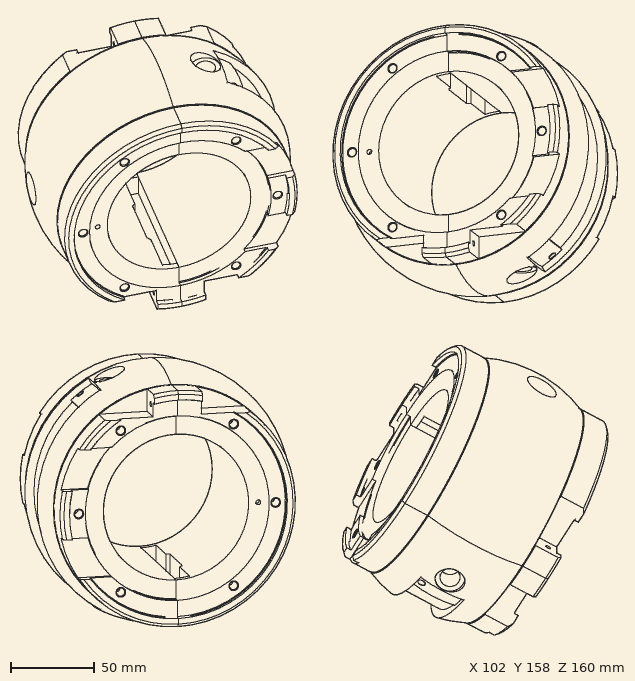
import cadquery as cq
import math

LENGTH = 102.0
HALF_LENGTH = LENGTH / 2
BALL_RADIUS = 80.0
COLLAR_RADIUS = 73.0
COLLAR_CHAMFER = 2.0
BORE_RADIUS = 45.0
COLLAR_INNER_X = 33.0
BALL_START_X = math.sqrt(BALL_RADIUS**2 - COLLAR_RADIUS**2)
RELIEF_DEPTH = 0.5
RELIEF_WIDTH = 0.5

RING_SEAT_RADIUS = 67.5
RING_SEAT_DEPTH = 3.0
RING_SEAT_FILLET = 0.5
BORE_SEAT_RADIUS = 57.0
BORE_SEAT_DEPTH = 6.0
BORE_SEAT_FILLET = 0.5
SCREW_CIRCLE_RADIUS = 61.0
SCREW_DIAMETER = 5.0
SCREW_DEPTH = 12.0
SCREW_MOUTH_DIAMETER = 6.0
SCREW_ANGLES = (0, 55, 125, 180, 235, 305)
DOWEL_DIAMETER = 3.0
DOWEL_DEPTH = 4.0
DOWEL_Y = -51.0
LUG_HALF_WIDTH = 15.0
TOP_NOTCH_Z = 57.3
SIDE_NOTCH_Z = 40.0
SIDE_NOTCH_DEPTH = 5.5
LUG_PIN_DIAMETER = 3.0
LUG_PIN_X = -42.0
LUG_PIN_Z = 64.0

SLOT_WIDTH = 30.0
SLOT_FLOOR_RADIUS = COLLAR_RADIUS
SLOT_HALF_ANGLE = 60.0
SEAT_RADIUS = 76.0
SEAT_ANGLE = 12.3
SEAT_HOLE_DIAMETER = 5.0
SEAT_HOLE_X = 11.0
SEAT_HOLE_BOTTOM = 75.0
SEAT_HOLE_ANGLE = 52.8

DRILL_POINT_ANGLE = 118.0
FRONT_HOLE_DIAMETER = 20.0
FRONT_HOLE_BOTTOM = 66.0
TOP_HOLE_DIAMETER = 12.0
TOP_HOLE_Y = 30.0
TOP_HOLE_BOTTOM = 52.0
COUNTERBORE_DIAMETER = 18.0
COUNTERBORE_FLOOR = 69.3

POCKET_LENGTH = 82.0
POCKET_DEPTH = 9.3
POCKET_RADIUS = 58.0
POCKET_BAY_LENGTH = 34.0
POCKET_BAY_STEP = 2.0

BIG = 2 * BALL_RADIUS


def revolve_about_x(profile):
    return profile.close().revolve(360, (0, 0, 0), (1, 0, 0))


def block(x_range, y_range, z_range):
    sizes = [end - start for start, end in (x_range, y_range, z_range)]
    corner = (x_range[0], y_range[0], z_range[0])
    return cq.Workplane("XY").box(*sizes, centered=False).translate(corner)


def half_turn(shape):
    """The same shape turned half a turn about the Y axis."""
    return shape.rotate((0, 0, 0), (0, 1, 0), 180)


def drill(start, direction, diameter, depth):
    """A drilled hole: straight part of the given depth, then a conical point."""
    radius = diameter / 2
    axis = cq.Vector(*direction)
    bottom = cq.Vector(*start) + axis * depth
    tip_height = radius / math.tan(math.radians(DRILL_POINT_ANGLE / 2))
    straight = cq.Solid.makeCylinder(radius, depth, cq.Vector(*start), axis)
    tip = cq.Solid.makeCone(radius, 0, tip_height, bottom, axis)
    return cq.Workplane(straight.fuse(tip))


def ball_ring():
    """Ball with a chamfered collar at each end, relief grooves and a straight bore."""
    rim_radius = COLLAR_RADIUS - COLLAR_CHAMFER
    chamfer_x = HALF_LENGTH - COLLAR_CHAMFER
    relief_radius = COLLAR_RADIUS - RELIEF_DEPTH
    relief_x = BALL_START_X + RELIEF_WIDTH
    profile = (
        cq.Workplane("XY")
        .moveTo(-HALF_LENGTH, BORE_RADIUS)
        .lineTo(-HALF_LENGTH, rim_radius)
        .lineTo(-chamfer_x, COLLAR_RADIUS)
        .lineTo(-relief_x, COLLAR_RADIUS)
        .lineTo(-relief_x, relief_radius)
        .lineTo(-BALL_START_X, relief_radius)
        .lineTo(-BALL_START_X, COLLAR_RADIUS)
        .threePointArc((0, BALL_RADIUS), (BALL_START_X, COLLAR_RADIUS))
        .lineTo(BALL_START_X, relief_radius)
        .lineTo(relief_x, relief_radius)
        .lineTo(relief_x, COLLAR_RADIUS)
        .lineTo(chamfer_x, COLLAR_RADIUS)
        .lineTo(HALF_LENGTH, rim_radius)
        .lineTo(HALF_LENGTH, BORE_RADIUS)
    )
    return revolve_about_x(profile)


def disc_at_left_end(radius, depth):
    """A disc reaching the given depth into the -X end face."""
    return cq.Workplane("YZ", origin=(-HALF_LENGTH, 0, 0)).circle(radius).extrude(depth)


def left_end_cuts():
    """Everything cut into the -X end; the +X end is the same, turned about Y."""
    ring_seat = disc_at_left_end(RING_SEAT_RADIUS, RING_SEAT_DEPTH)
    bore_seat = disc_at_left_end(BORE_SEAT_RADIUS, BORE_SEAT_DEPTH)
    cuts = [
        ring_seat.faces(">X").edges().fillet(RING_SEAT_FILLET),
        bore_seat.faces(">X").edges().fillet(BORE_SEAT_FILLET),
    ]

    screw_x = -HALF_LENGTH + RING_SEAT_DEPTH
    for angle in SCREW_ANGLES:
        y = SCREW_CIRCLE_RADIUS * math.cos(math.radians(angle))
        z = SCREW_CIRCLE_RADIUS * math.sin(math.radians(angle))
        hole = drill((screw_x, y, z), (1, 0, 0), SCREW_DIAMETER, SCREW_DEPTH)
        countersink = cq.Solid.makeCone(
            SCREW_MOUTH_DIAMETER / 2,
            SCREW_DIAMETER / 2,
            (SCREW_MOUTH_DIAMETER - SCREW_DIAMETER) / 2,
            cq.Vector(screw_x, y, z),
            cq.Vector(1, 0, 0),
        )
        cuts.append(hole.union(cq.Workplane(countersink)))

    dowel_x = -HALF_LENGTH + BORE_SEAT_DEPTH
    dowel = cq.Workplane("YZ", origin=(dowel_x, DOWEL_Y, 0)).circle(DOWEL_DIAMETER / 2)
    cuts.append(dowel.extrude(DOWEL_DEPTH))

    pin = cq.Workplane("XZ", origin=(LUG_PIN_X, 0, LUG_PIN_Z)).circle(LUG_PIN_DIAMETER / 2)
    cuts.append(pin.extrude(LUG_HALF_WIDTH, both=True))

    side_slab = disc_at_left_end(BIG, SIDE_NOTCH_DEPTH)
    for side in (1, -1):
        top_y = sorted((side * LUG_HALF_WIDTH, side * BIG))
        cuts.append(block((-BIG, -COLLAR_INNER_X), top_y, (TOP_NOTCH_Z, BIG)))
        side_z = sorted((side * LUG_HALF_WIDTH, side * SIDE_NOTCH_Z))
        cuts.append(side_slab.intersect(block((-BIG, 0), (LUG_HALF_WIDTH, BIG), side_z)))
    return cuts


def wedge(half_angle):
    """Slot-wide sector about the bore axis, centred on +Y."""
    reach_y = BIG * math.cos(math.radians(half_angle))
    reach_z = BIG * math.sin(math.radians(half_angle))
    return (
        cq.Workplane("YZ", origin=(-SLOT_WIDTH / 2, 0, 0))
        .polyline([(0, 0), (reach_y, -reach_z), (BIG, -reach_z), (BIG, reach_z), (reach_y, reach_z)])
        .close()
        .extrude(SLOT_WIDTH)
    )


def slot_cuts():
    """Deep slot round the back of the ball with a shallow drilled seat at each end."""
    floor = cq.Workplane("YZ").circle(SLOT_FLOOR_RADIUS).extrude(BIG, both=True)
    seat_ball = cq.Workplane("XY").sphere(SEAT_RADIUS)
    deep_slot = wedge(SLOT_HALF_ANGLE - SEAT_ANGLE).cut(floor)
    seats = wedge(SLOT_HALF_ANGLE).cut(seat_ball)

    hole_angle = math.radians(SEAT_HOLE_ANGLE)
    outward_y = math.cos(hole_angle)
    outward_z = math.sin(hole_angle)
    start = (SEAT_HOLE_X, BALL_RADIUS * outward_y, BALL_RADIUS * outward_z)
    depth = BALL_RADIUS - SEAT_HOLE_BOTTOM
    hole = drill(start, (0, -outward_y, -outward_z), SEAT_HOLE_DIAMETER, depth)
    return [deep_slot, seats, hole, half_turn(hole)]


def top_hole_cuts():
    """Counterbored blind hole, parallel to Z, on the top and the bottom of the back half."""
    start = (0, TOP_HOLE_Y, BALL_RADIUS)
    hole = drill(start, (0, 0, -1), TOP_HOLE_DIAMETER, BALL_RADIUS - TOP_HOLE_BOTTOM)
    counterbore = (
        cq.Workplane("XY", origin=(0, TOP_HOLE_Y, COUNTERBORE_FLOOR))
        .circle(COUNTERBORE_DIAMETER / 2)
        .extrude(BALL_RADIUS - COUNTERBORE_FLOOR)
    )
    cut = hole.union(counterbore)
    return [cut, half_turn(cut)]


def pocket_cuts():
    """Pockets in the split face, below and above the bore, deeper in the middle."""
    half_length = POCKET_LENGTH / 2
    half_bay = POCKET_BAY_LENGTH / 2
    half_bay_floor = half_bay - POCKET_BAY_STEP
    bay_depth = POCKET_DEPTH + POCKET_BAY_STEP
    pocket = (
        cq.Workplane("XY", origin=(0, 0, -POCKET_RADIUS))
        .moveTo(-half_length, 0)
        .lineTo(-half_length, -POCKET_DEPTH)
        .lineTo(-half_bay, -POCKET_DEPTH)
        .lineTo(-half_bay_floor, -bay_depth)
        .lineTo(half_bay_floor, -bay_depth)
        .lineTo(half_bay, -POCKET_DEPTH)
        .lineTo(half_length, -POCKET_DEPTH)
        .lineTo(half_length, 0)
        .close()
        .extrude(POCKET_RADIUS)
    )
    return [pocket, half_turn(pocket)]


ring = ball_ring()
for end_cut in left_end_cuts():
    ring = ring.cut(end_cut).cut(half_turn(end_cut))

front_half = ring.intersect(block((-BIG, BIG), (-BIG, 0), (-BIG, BIG)))
for pocket_cut in pocket_cuts():
    front_half = front_half.cut(pocket_cut)
front_hole_depth = BALL_RADIUS - FRONT_HOLE_BOTTOM
front_half = front_half.cut(drill((0, -BALL_RADIUS, 0), (0, 1, 0), FRONT_HOLE_DIAMETER, front_hole_depth))

back_half = ring.intersect(block((-BIG, BIG), (0, BIG), (-BIG, BIG)))
for back_cut in slot_cuts() + top_hole_cuts():
    back_half = back_half.cut(back_cut)

result = cq.Compound.makeCompound([front_half.val(), back_half.val()])